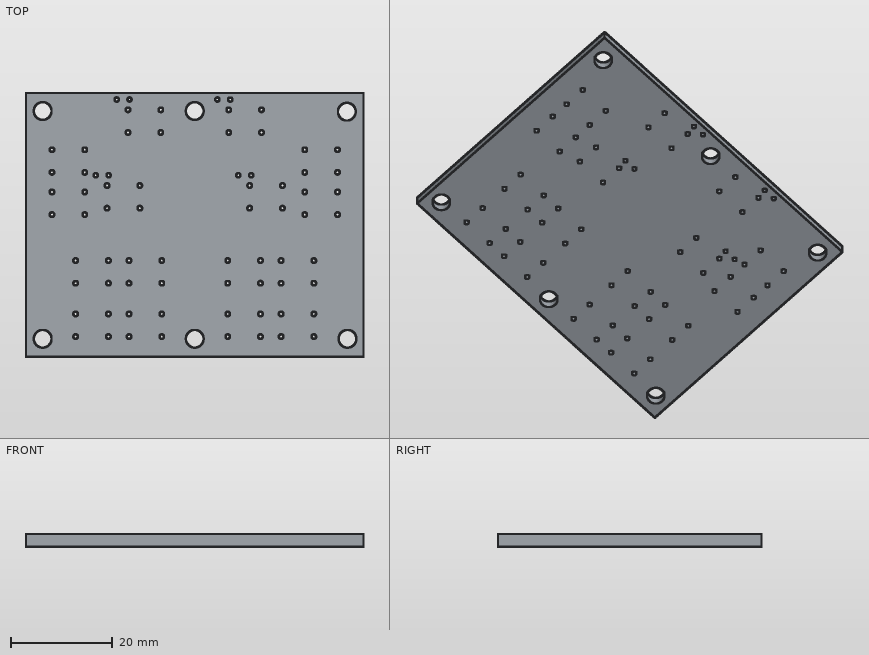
import cadquery as cq

board_length = 66.8
board_width = 52.2
board_thickness = 2.55

mount_diameter = 3.5
mount_x = 30.05
mount_y = 22.5
mount_offset = 0.15
mount_points = [
    (-mount_x, mount_y),
    (0, mount_y),
    (mount_x, mount_y - mount_offset),
    (-mount_x, -mount_y),
    (0, -mount_y),
    (mount_x + mount_offset, -mount_y),
]

pin_diameter = 0.9
pin_pitch_x = 6.5
pin_pitch_y = 4.5

top_x, top_y = 9.95, 20.5
middle_x, middle_y = 14.1, 5.55
side_x = 25.0
side_rows = (12.6, 4.3)
lower_columns = (9.75, 20.3)
lower_rows = (-9.3, -19.85)

lead_diameter = 0.8
lead_pitch = 2.55
lead_offset_x = -4.2
lead_offset_y = 4.3


def mirrored(x, y):
    """Return a point and its mirror image about the YZ plane."""
    return [(-x, y), (x, y)]


def drill(body, points, diameter):
    """Cut through holes of one diameter at the given points."""
    return body.faces(">Z").workplane(origin=(0, 0, 0)).pushPoints(points).hole(diameter)


def pin_points(center_x, center_y):
    """Return the four pin positions around a component centre."""
    return [
        (center_x + side * pin_pitch_x / 2, center_y + end * pin_pitch_y / 2)
        for side in (-1, 1)
        for end in (-1, 1)
    ]


def lead_points(center_x, center_y):
    """Return the two lead positions beside a component centre."""
    return [
        (center_x + lead_offset_x + side * lead_pitch / 2, center_y + lead_offset_y)
        for side in (-1, 1)
    ]


lead_components = mirrored(top_x, top_y) + mirrored(middle_x, middle_y)
components = list(lead_components)
for row_y in side_rows:
    components += mirrored(side_x, row_y)
for column_x in lower_columns:
    for row_y in lower_rows:
        components += mirrored(column_x, row_y)

all_pins = [point for center in components for point in pin_points(*center)]
all_leads = [point for center in lead_components for point in lead_points(*center)]

result = cq.Workplane("XY").box(board_length, board_width, board_thickness)
result = drill(result, mount_points, mount_diameter)
result = drill(result, all_pins, pin_diameter)
result = drill(result, all_leads, lead_diameter)